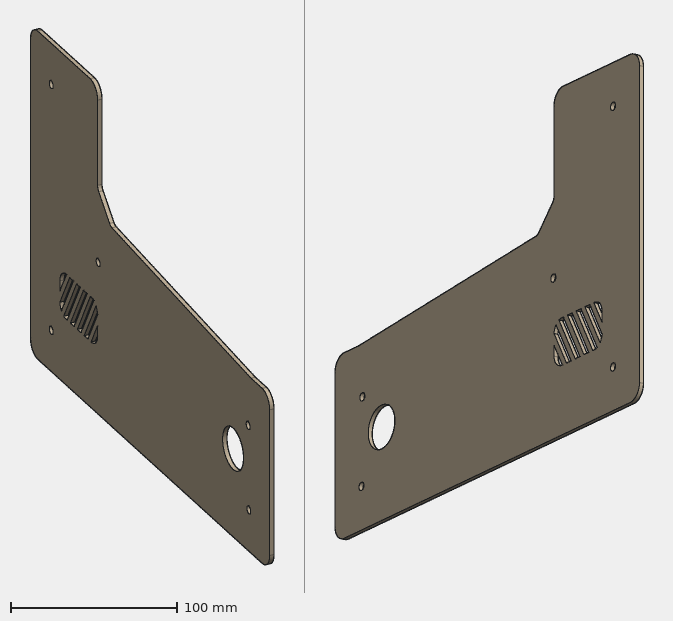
import cadquery as cq
import math

length = 320.5
height = 221.8
thickness = 3.0
corner_radius = 10.0

arm_width = 90.0
notch_top_z = 152.2
notch_foot_x = 107.5
notch_foot_z = 134.5
slope_end_x = 295.5
right_side_height = 118.3
notch_radius = 5.0

screw_diameter = 5.0
screw_margin = 28.0
screw_positions = [
    (screw_margin, screw_margin),
    (screw_margin, height - screw_margin),
    (90.7, 102.5),
    (291.7, 84.5),
    (length - screw_margin, screw_margin),
]
port_diameter = 28.0
port_position = (271.5, 59.5)

vent_length = 50.3
vent_height = 30.0
vent_center = (64.7, 59.5)
vent_radius = 8.0
bar_count = 6
bar_width = 4.0
bar_pitch = 8.0
bar_angle = 60.0


def make_plate():
    outline = [
        (0, 0),
        (length, 0),
        (length, right_side_height),
        (slope_end_x, right_side_height),
        (notch_foot_x, notch_foot_z),
        (arm_width, notch_top_z),
        (arm_width, height),
        (0, height),
    ]
    outer_corners = [
        (0, 0),
        (length, 0),
        (length, right_side_height),
        (arm_width, height),
        (0, height),
    ]
    notch_corners = [(notch_foot_x, notch_foot_z), (arm_width, notch_top_z)]
    plate = cq.Workplane("XZ").polyline(outline).close().extrude(-thickness)
    plate = round_corners(plate, outer_corners, corner_radius)
    return round_corners(plate, notch_corners, notch_radius)


def round_corners(plate, corners, radius):
    """Fillet the edges that run through the plate at the given corners."""
    for x, z in corners:
        edge = cq.selectors.NearestToPointSelector((x, thickness / 2, z))
        plate = plate.edges("|Y").edges(edge).fillet(radius)
    return plate


def make_holes():
    screws = cq.Workplane("XZ").pushPoints(screw_positions).circle(screw_diameter / 2)
    port = cq.Workplane("XZ").center(*port_position).circle(port_diameter / 2)
    return screws.extrude(-thickness).union(port.extrude(-thickness))


def make_vent():
    """The rounded window less its equally spaced bars, leaving the slots to cut."""
    window = (
        cq.Workplane("XZ")
        .center(*vent_center)
        .rect(vent_length, vent_height)
        .extrude(-thickness)
        .edges("|Y")
        .fillet(vent_radius)
    )
    bar_length = vent_length + vent_height
    horizontal_pitch = bar_pitch / math.sin(math.radians(bar_angle))
    center_x, center_z = vent_center
    slots = window
    for index in range(bar_count):
        offset = (index - (bar_count - 1) / 2) * horizontal_pitch
        bar = (
            cq.Workplane("XZ")
            .center(center_x + offset, center_z)
            .transformed(rotate=(0, 0, bar_angle))
            .rect(bar_length, bar_width)
            .extrude(-thickness)
        )
        slots = slots.cut(bar)
    return slots


result = make_plate().cut(make_holes()).cut(make_vent())